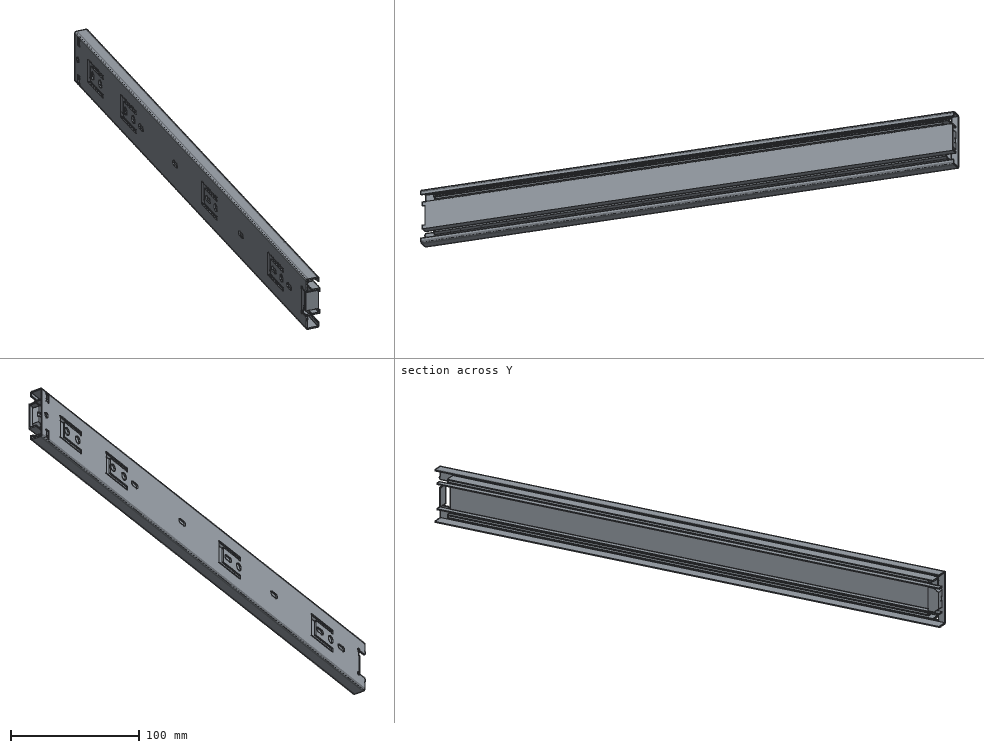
import cadquery as cq


LENGTH = 450.0
DEPTH = 12.5
HEIGHT = 44.5
SHEET = 1.2

OUTER_LENGTH = 449.0
OUTER_DEPTH = 11.2
CORNER_RADIUS = 2.0
LIP_HEIGHT = 4.0

MIDDLE_START = 5.5
MIDDLE_END = 438.0
MIDDLE_HALF_HEIGHT = 16.5
MIDDLE_WEB_Y = 1.58
JOGGLE_DEPTH = 1.0
JOGGLE_INNER_Z = 7.5
JOGGLE_OUTER_Z = 10.0
DROOP_START_Y = 10.5
DROOP = 1.5

INNER_LENGTH = 447.5
INNER_HALF_HEIGHT = 11.2
INNER_FLANGE_Y = 6.0

TONGUE_STARTS = [25.0, 89.0, 246.0, 375.0]
TONGUE_SLOT_LENGTH = 29.5
TONGUE_GAP = 6.0
TONGUE_HALF_WIDTH = 6.8
TONGUE_SLOT_OUTER_Z = 10.0

HOLE_DIAMETER = 6.5
HOLE_CENTRES = [34.5, 49.5, 98.5, 114.0, 273.5, 401.5]
OBLONG_LENGTH = 9.0
OBLONG_WIDTH = 4.0
OBLONG_CENTRES = [128.5, 195.0, 258.8, 322.5, 386.5, 416.2]

END_HOLE_X = 6.0
END_HOLE_DIAMETER = 4.5
WINDOW_X = 7.5
WINDOW_WIDTH = 4.0
WINDOW_INNER_Z = 13.0
WINDOW_HEIGHT = 7.0

OUTER_NOTCH_X = 440.5
OUTER_NOTCH_HALF_HEIGHT = 11.0
RELIEF_RADIUS = 1.5
EAR_HALF_HEIGHT = 2.0
INNER_NOTCH_X = 445.0
INNER_NOTCH_HALF_HEIGHT = 8.0
TAB_FRONT_Y = 2.0

BUMPER_START = 1.0
BUMPER_LENGTH = 9.0
BUMPER_HALF_HEIGHT = 10.0
NOSE_LENGTH = 3.5
NOSE_HALF_HEIGHT = 7.0
BUMPER_FRONT_Y = MIDDLE_WEB_Y + JOGGLE_DEPTH + SHEET
BUMPER_BACK_Y = 10.0
GROOVE_HEIGHT = 3.5
GROOVE_DEPTH = 1.5

CAGE_WEB_Y = 3.82
CAGE_SHEET = 1.5
CAGE_CORNER_Y = 6.8
CAGE_CORNER_Z = 11.2
CAGE_HALF_HEIGHT = 14.5
CAGE_BACK_Y = 11.0


def box(x0, x1, y0, y1, z0, z1):
    """A block between two opposite corners."""
    return cq.Workplane("XY").box(x1 - x0, y1 - y0, z1 - z0, centered=False).translate((x0, y0, z0))


def rail(half_section, start, end):
    """Extrude a sheet section along X, completed by its mirror image below Z = 0.

    half_section lists the (y, z) corners above Z = 0; its two open ends join the mirror image.
    """
    mirrored = [(y, -z) for y, z in reversed(half_section)]
    outline = cq.Workplane("YZ").polyline(half_section + mirrored).close()
    return outline.extrude(end - start).translate((start, 0, 0))


def through_web(sketch):
    """Turn a flat XZ sketch on the outer web into a cutter through its sheet."""
    return sketch.extrude(-SHEET)


def tongue_slot(start):
    """U-shaped slot around one spring tongue."""
    end = start + TONGUE_SLOT_LENGTH
    window = box(start, end, 0, SHEET, -TONGUE_SLOT_OUTER_Z, TONGUE_SLOT_OUTER_Z)
    tongue = box(start + TONGUE_GAP, end, 0, SHEET, -TONGUE_HALF_WIDTH, TONGUE_HALF_WIDTH)
    return window.cut(tongue)


def outer_rail():
    half_height = HEIGHT / 2
    body = rail(
        [
            (0, half_height),
            (OUTER_DEPTH, half_height),
            (OUTER_DEPTH, half_height - LIP_HEIGHT),
            (OUTER_DEPTH - SHEET, half_height - LIP_HEIGHT),
            (OUTER_DEPTH - SHEET, half_height - SHEET),
            (SHEET, half_height - SHEET),
        ],
        0,
        OUTER_LENGTH,
    )

    body = body.faces("<Z or >Z").edges("|X").fillet(CORNER_RADIUS)

    for side in (-1, 1):
        root_z = side * OUTER_NOTCH_HALF_HEIGHT
        tip_z = root_z + side * EAR_HALF_HEIGHT
        top_z = tip_z + side * EAR_HALF_HEIGHT
        ear = [
            (OUTER_NOTCH_X, root_z),
            (OUTER_LENGTH, root_z),
            (LENGTH, tip_z),
            (OUTER_LENGTH, top_z),
            (OUTER_NOTCH_X, top_z),
        ]
        body = body.union(through_web(cq.Workplane("XZ").polyline(ear).close()))

    body = body.cut(
        box(OUTER_NOTCH_X, LENGTH, 0, SHEET, -OUTER_NOTCH_HALF_HEIGHT, OUTER_NOTCH_HALF_HEIGHT)
    )
    corners = [(OUTER_NOTCH_X, side * OUTER_NOTCH_HALF_HEIGHT) for side in (-1, 1)]
    body = body.cut(through_web(cq.Workplane("XZ").pushPoints(corners).circle(RELIEF_RADIUS)))

    for start in TONGUE_STARTS:
        body = body.cut(tongue_slot(start))
    holes = cq.Workplane("XZ").pushPoints([(x, 0) for x in HOLE_CENTRES]).circle(HOLE_DIAMETER / 2)
    body = body.cut(through_web(holes))
    oblongs = cq.Workplane("XZ").pushPoints([(x, 0) for x in OBLONG_CENTRES])
    body = body.cut(through_web(oblongs.slot2D(OBLONG_LENGTH, OBLONG_WIDTH)))

    end_hole = cq.Workplane("XZ").center(END_HOLE_X, 0).circle(END_HOLE_DIAMETER / 2)
    body = body.cut(through_web(end_hole))
    window_z = WINDOW_INNER_Z + WINDOW_HEIGHT / 2
    windows = cq.Workplane("XZ").pushPoints([(WINDOW_X, -window_z), (WINDOW_X, window_z)])
    return body.cut(through_web(windows.rect(WINDOW_WIDTH, WINDOW_HEIGHT)))


def middle_rail():
    """Channel whose web steps back in the middle and whose flange edges droop."""
    web_front = MIDDLE_WEB_Y + JOGGLE_DEPTH
    return rail(
        [
            (web_front, JOGGLE_INNER_Z),
            (MIDDLE_WEB_Y, JOGGLE_OUTER_Z),
            (MIDDLE_WEB_Y, MIDDLE_HALF_HEIGHT),
            (DROOP_START_Y, MIDDLE_HALF_HEIGHT),
            (DEPTH, MIDDLE_HALF_HEIGHT - DROOP),
            (DEPTH, MIDDLE_HALF_HEIGHT - DROOP - SHEET),
            (DROOP_START_Y, MIDDLE_HALF_HEIGHT - SHEET),
            (MIDDLE_WEB_Y + SHEET, MIDDLE_HALF_HEIGHT - SHEET),
            (MIDDLE_WEB_Y + SHEET, JOGGLE_OUTER_Z),
            (web_front + SHEET, JOGGLE_INNER_Z),
        ],
        MIDDLE_START,
        MIDDLE_END,
    )


def inner_rail():
    """Channel that opens towards the middle rail, with a bent tab at its notched right end."""
    body = rail(
        [
            (DEPTH, INNER_HALF_HEIGHT),
            (INNER_FLANGE_Y, INNER_HALF_HEIGHT),
            (INNER_FLANGE_Y, INNER_HALF_HEIGHT - SHEET),
            (DEPTH - SHEET, INNER_HALF_HEIGHT - SHEET),
        ],
        0,
        INNER_LENGTH,
    )
    side = INNER_NOTCH_HALF_HEIGHT
    notch = box(INNER_NOTCH_X, INNER_LENGTH, DEPTH - SHEET, DEPTH, -side, side)
    tab = box(INNER_NOTCH_X - SHEET, INNER_NOTCH_X, TAB_FRONT_Y, DEPTH, -side, side)
    return body.cut(notch).union(tab)


def ball_cage():
    """Thin channel with slanted corners, between the middle and inner rails, behind the bumper."""
    return rail(
        [
            (CAGE_WEB_Y, CAGE_CORNER_Z),
            (CAGE_CORNER_Y, CAGE_HALF_HEIGHT),
            (CAGE_BACK_Y, CAGE_HALF_HEIGHT),
            (CAGE_BACK_Y, CAGE_HALF_HEIGHT - CAGE_SHEET),
            (CAGE_CORNER_Y + CAGE_SHEET / 2, CAGE_HALF_HEIGHT - CAGE_SHEET),
            (CAGE_WEB_Y + CAGE_SHEET, CAGE_CORNER_Z - CAGE_SHEET / 2),
        ],
        BUMPER_START + BUMPER_LENGTH,
        MIDDLE_END,
    )


def bumper():
    """Stop block resting on the middle web, with a tapered nose and a groove along its front."""
    end = BUMPER_START + BUMPER_LENGTH
    nose_end = BUMPER_START + NOSE_LENGTH
    side = [
        (BUMPER_START, -NOSE_HALF_HEIGHT),
        (nose_end, -BUMPER_HALF_HEIGHT),
        (end, -BUMPER_HALF_HEIGHT),
        (end, BUMPER_HALF_HEIGHT),
        (nose_end, BUMPER_HALF_HEIGHT),
        (BUMPER_START, NOSE_HALF_HEIGHT),
    ]
    thickness = BUMPER_BACK_Y - BUMPER_FRONT_Y
    block = cq.Workplane("XZ").polyline(side).close().extrude(-thickness).translate((0, BUMPER_FRONT_Y, 0))
    groove_back = BUMPER_FRONT_Y + GROOVE_DEPTH
    groove = box(BUMPER_START, end, BUMPER_FRONT_Y, groove_back, -GROOVE_HEIGHT / 2, GROOVE_HEIGHT / 2)
    return block.cut(groove)


outer = outer_rail()
middle = middle_rail()
inner = inner_rail()
cage = ball_cage()
stop = bumper()

result = cq.Compound.makeCompound([outer.val(), middle.val(), inner.val(), cage.val(), stop.val()])